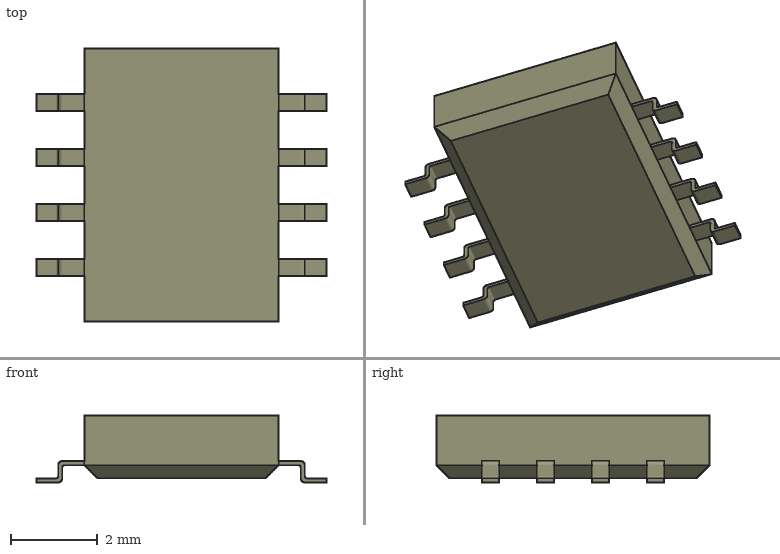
import cadquery as cq

body_width = 4.48
body_length = 6.31
body_bottom = 0.1
body_top = 1.55
bottom_chamfer = 0.3

lead_span = 6.7
lead_width = 0.4
lead_thickness = 0.1
lead_pitch = 1.27
leads_per_side = 4
foot_length = 0.6
arm_top = body_bottom + bottom_chamfer + lead_thickness
outer_bend_radius = 0.1
inner_bend_radius = 0.05


def make_body():
    height = body_top - body_bottom
    block = cq.Workplane("XY", origin=(0, 0, body_bottom)).box(
        body_width, body_length, height, centered=(True, True, False)
    )
    return block.faces("<Z").chamfer(bottom_chamfer)


def make_lead(y_center):
    """Z-shaped strip on the -X side, from its foot up to the body's side face."""
    toe_x = -lead_span / 2
    riser_inner_x = toe_x + foot_length
    riser_outer_x = riser_inner_x - lead_thickness
    body_side_x = -body_width / 2
    arm_bottom = arm_top - lead_thickness

    profile = [
        (toe_x, 0),
        (riser_inner_x, 0),
        (riser_inner_x, arm_bottom),
        (body_side_x, arm_bottom),
        (body_side_x, arm_top),
        (riser_outer_x, arm_top),
        (riser_outer_x, lead_thickness),
        (toe_x, lead_thickness),
    ]
    strip = (
        cq.Workplane("XZ", origin=(0, y_center, 0))
        .polyline(profile)
        .close()
        .extrude(lead_width / 2, both=True)
    )

    outer_corners = [(riser_inner_x, 0), (riser_outer_x, arm_top)]
    inner_corners = [(riser_inner_x, arm_bottom), (riser_outer_x, lead_thickness)]
    strip = round_bends(strip, outer_corners, y_center, outer_bend_radius)
    return round_bends(strip, inner_corners, y_center, inner_bend_radius)


def round_bends(strip, corners, y_center, radius):
    """Fillet the edges along Y that pass through the given (x, z) corners."""
    for x, z in corners:
        nearest_edge = cq.selectors.NearestToPointSelector((x, y_center, z))
        strip = strip.edges("|Y").edges(nearest_edge).fillet(radius)
    return strip


result = make_body()
for index in range(leads_per_side):
    lead_y = (index - (leads_per_side - 1) / 2) * lead_pitch
    left_lead = make_lead(lead_y)
    right_lead = left_lead.mirror("YZ")
    result = result.union(left_lead).union(right_lead)